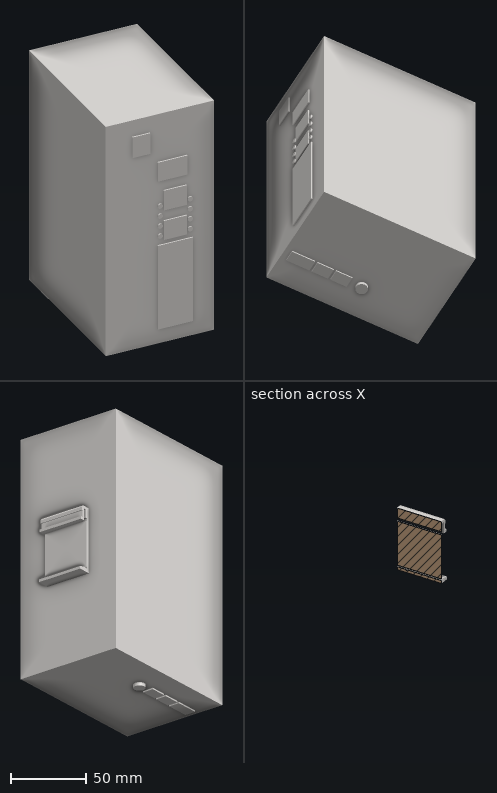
import cadquery as cq

BODY_DEPTH = 114.5
BODY_WIDTH = 80.0
BODY_HEIGHT = 175.0

CLIP_WIDTH = 34.8
CLIP_BOTTOM = 61.0
CLIP_HEIGHT = 47.4
PLATE_THICKNESS = 2.7
SPINE_THICKNESS = 3.4
GROOVE_FLOOR = 2.05
GROOVE_HEIGHT = 2.0

FOOT_REACH = 9.4
FOOT_THICKNESS = 2.0
FOOT_RIDGE_REACH = 4.0
FOOT_RIDGE_RISE = 1.2
NOTCH_CHAMFER = 0.7

HOOK_REACH = 8.7
HOOK_BOTTOM = 97.8
HOOK_TOE_HEIGHT = 2.0
ARM_INNER = 5.5
ARM_OUTER = 6.7
ARM_BRIDGE = 2.0
BEAD_REACH = 7.5
BEAD_HEIGHT = 2.3
BEAD_CHAMFER_DEPTH = 1.2
BEAD_CHAMFER_HEIGHT = 1.5
GROOVE_ABOVE_TOE = 0.7

PANEL_RAISE = 1.0
FRONT_PANELS = [
    (-20.6, -7.5, 146.8, 162.6),
    (-1.8, 20.0, 124.0, 138.6),
    (2.7, 19.5, 101.0, 116.0),
    (2.7, 19.5, 78.5, 93.0),
    (-1.8, 24.0, 11.2, 75.0),
]
UNDERSIDE_PANELS = [(64.5, 76.7), (78.5, 90.7), (92.5, 109.9)]
UNDERSIDE_PANEL_WIDTH = 8.2

LAMP_DIAMETER = 3.5
LAMP_COLUMN_YS = [0, 22.2]
LAMP_ROWS = 4
LAMP_PITCH = 7.6
LOWEST_LAMP_Z = 81.8

BUTTON_DIAMETER = 8.3
BUTTON_LENGTH = 2.5
BUTTON_X = 55.2
BUTTON_Y = -16.7


def box_between(x_range, y_range, z_range):
    """Axis-aligned box filling a (low, high) range along each axis."""
    ranges = (x_range, y_range, z_range)
    sizes = [high - low for low, high in ranges]
    corner = tuple(low for low, high in ranges)
    return cq.Workplane("XY").box(*sizes, centered=False).translate(corner)


def rail_clip():
    """Rigid foot below, spring hook above, joined by a plate against the rear face."""
    top = CLIP_BOTTOM + CLIP_HEIGHT
    slot_top = top - ARM_BRIDGE
    bead_top = top - BEAD_CHAMFER_HEIGHT
    bead_bottom = bead_top - BEAD_HEIGHT
    toe_top = HOOK_BOTTOM + HOOK_TOE_HEIGHT
    groove_top = toe_top + GROOVE_ABOVE_TOE
    groove_bottom = groove_top - GROOVE_HEIGHT
    foot_top = CLIP_BOTTOM + FOOT_THICKNESS
    ridge_top = foot_top + FOOT_RIDGE_RISE
    outline = [
        (0, top),
        (-BEAD_REACH + BEAD_CHAMFER_DEPTH, top),
        (-BEAD_REACH, bead_top),
        (-BEAD_REACH, bead_bottom),
        (-ARM_OUTER, bead_bottom),
        (-ARM_OUTER, toe_top),
        (-HOOK_REACH, toe_top),
        (-HOOK_REACH, HOOK_BOTTOM),
        (-ARM_INNER, HOOK_BOTTOM),
        (-ARM_INNER, slot_top),
        (-SPINE_THICKNESS, slot_top),
        (-SPINE_THICKNESS, groove_top),
        (-GROOVE_FLOOR, groove_top),
        (-GROOVE_FLOOR, groove_bottom),
        (-PLATE_THICKNESS, groove_bottom),
        (-PLATE_THICKNESS, ridge_top + NOTCH_CHAMFER),
        (-GROOVE_FLOOR, ridge_top),
        (-PLATE_THICKNESS, foot_top),
        (-FOOT_RIDGE_REACH, ridge_top),
        (-FOOT_REACH, foot_top),
        (-FOOT_REACH, CLIP_BOTTOM),
        (0, CLIP_BOTTOM),
    ]
    return cq.Workplane("XZ").polyline(outline).close().extrude(CLIP_WIDTH / 2, both=True)


def lamp(y, z):
    """Short disc standing on the front face."""
    return (
        cq.Workplane("YZ", origin=(BODY_DEPTH, y, z))
        .circle(LAMP_DIAMETER / 2)
        .extrude(PANEL_RAISE)
    )


result = cq.Workplane("XY").box(BODY_DEPTH, BODY_WIDTH, BODY_HEIGHT, centered=(False, True, False))
result = result.union(rail_clip())

for y_low, y_high, z_low, z_high in FRONT_PANELS:
    panel = box_between((BODY_DEPTH, BODY_DEPTH + PANEL_RAISE), (y_low, y_high), (z_low, z_high))
    result = result.union(panel)

for column_y in LAMP_COLUMN_YS:
    for row in range(LAMP_ROWS):
        result = result.union(lamp(column_y, LOWEST_LAMP_Z + row * LAMP_PITCH))

panel_y = (BUTTON_Y - UNDERSIDE_PANEL_WIDTH / 2, BUTTON_Y + UNDERSIDE_PANEL_WIDTH / 2)
for x_range in UNDERSIDE_PANELS:
    result = result.union(box_between(x_range, panel_y, (-PANEL_RAISE, 0)))

button = (
    cq.Workplane("XY", origin=(BUTTON_X, BUTTON_Y, 0))
    .circle(BUTTON_DIAMETER / 2)
    .extrude(-BUTTON_LENGTH)
)
result = result.union(button)